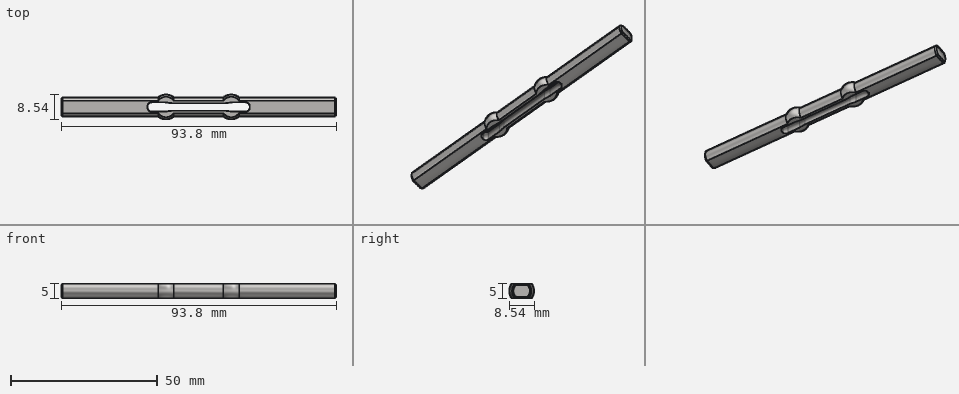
import cadquery as cq

rod_length = 93.75
rod_diameter = 6.6
thickness = 5.0
end_chamfer = 0.5

ball_diameter = 8.54
ball_spacing = 22.25

slot_length = 34.75
slot_end_width = 3.05
slot_waist_width = 2.5
slot_corner_radius = 1.25
waist_length = 18.25
taper_length = 2.25


def make_rod():
    """Round bar along X, chamfered at both ends."""
    bar = cq.Workplane("YZ").circle(rod_diameter / 2).extrude(rod_length / 2, both=True)
    return bar.faces("<X or >X").chamfer(end_chamfer)


def make_ball(x_center):
    """Ball centred on the rod axis."""
    return cq.Workplane("XY").sphere(ball_diameter / 2).translate((x_center, 0, 0))


def make_flats_envelope():
    """Slab that trims the round body to its two flats, with bevelled end edges."""
    slab = cq.Workplane("XY").box(rod_length, 2 * ball_diameter, thickness)
    return slab.edges("|Y").chamfer(end_chamfer)


def make_slot_cutter():
    """Slot through the full thickness, symmetric about both axes."""
    half_waist = waist_length / 2
    taper_end = half_waist + taper_length
    y_waist = slot_waist_width / 2
    y_end = slot_end_width / 2
    x_end = slot_length / 2
    corners = [
        (half_waist, y_waist),
        (taper_end, y_end),
        (x_end, y_end),
        (x_end, -y_end),
        (taper_end, -y_end),
        (half_waist, -y_waist),
    ]
    opposite_corners = [(-x, -y) for x, y in corners]
    outline = cq.Workplane("XY").polyline(corners + opposite_corners).close()
    cutter = outline.extrude(thickness, both=True)
    return cutter.faces("<X or >X").edges("|Z").fillet(slot_corner_radius)


body = make_rod()
for side in (-1, 1):
    body = body.union(make_ball(side * ball_spacing / 2))

result = body.intersect(make_flats_envelope()).cut(make_slot_cutter())